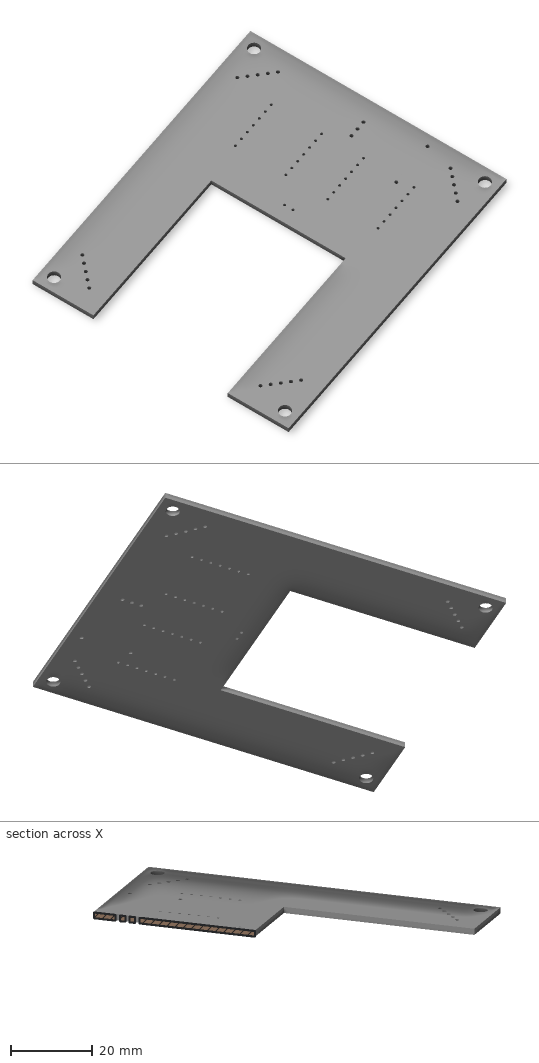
import cadquery as cq
import math

PITCH = 2.54

BOARD_WIDTH = 77.47
BOARD_LENGTH = 92.71
BOARD_THICKNESS = 1.6

NOTCH_WIDTH = 16 * PITCH
NOTCH_DEPTH = 50.165

MOUNT_HOLE_DIAMETER = 3.5
PIN_HOLE_DIAMETER = 1.0
CHIP_HOLE_DIAMETER = 0.76

MOUNT_HOLE_INSET = 1.5 * PITCH

CHIP_PINS_PER_ROW = 7
CHIP_INNER_ROW_X = 2.5 * PITCH
CHIP_ROW_SPACING = 6 * PITCH
CHIP_CENTER_Y = 23.495

UPPER_HEADER_PINS = 3
UPPER_HEADER_Y = 37.465
LOWER_HEADER_PINS = 2
LOWER_HEADER_Y = 8.255

SINGLE_PIN_X = 17.145
SINGLE_PIN_YS = (29.845, 43.18)

DIAGONAL_HEADER_PINS = 5
DIAGONAL_HEADERS = (
    (-29.58, 36.576, 45),
    (29.21, 37.465, -45),
    (-29.58, -36.576, -45),
    (29.21, -36.25, 45),
)


def pin_row(center_x, center_y, count, angle):
    """Centres of evenly pitched pins on a line at the given angle to the X axis."""
    direction = math.radians(angle)
    offsets = [(i - (count - 1) / 2) * PITCH for i in range(count)]
    return [
        (center_x + s * math.cos(direction), center_y + s * math.sin(direction))
        for s in offsets
    ]


def make_board():
    """Flat board with the notch cut into its -Y edge."""
    board = cq.Workplane("XY").box(
        BOARD_WIDTH, BOARD_LENGTH, BOARD_THICKNESS, centered=(True, True, False)
    )
    notch = (
        cq.Workplane("XY")
        .center(0, (NOTCH_DEPTH - BOARD_LENGTH) / 2)
        .rect(NOTCH_WIDTH, NOTCH_DEPTH)
        .extrude(BOARD_THICKNESS)
    )
    return board.cut(notch)


def drill(board, centers, diameter):
    """Cut through holes of one diameter at the given centres."""
    holes = cq.Workplane("XY").pushPoints(centers).circle(diameter / 2).extrude(BOARD_THICKNESS)
    return board.cut(holes)


def mount_hole_centers():
    x = BOARD_WIDTH / 2 - MOUNT_HOLE_INSET
    y = BOARD_LENGTH / 2 - MOUNT_HOLE_INSET
    return [(-x, -y), (x, -y), (-x, y), (x, y)]


def chip_hole_centers():
    """Four chip rows along Y, followed by the two-pin header, which shares their diameter."""
    outer_row_x = CHIP_INNER_ROW_X + CHIP_ROW_SPACING
    centers = []
    for row_x in (-outer_row_x, -CHIP_INNER_ROW_X, CHIP_INNER_ROW_X, outer_row_x):
        centers += pin_row(row_x, CHIP_CENTER_Y, CHIP_PINS_PER_ROW, 90)
    return centers + pin_row(0, LOWER_HEADER_Y, LOWER_HEADER_PINS, 0)


def pin_hole_centers():
    """Upper header, the two separate pins and the diagonal corner headers."""
    centers = pin_row(0, UPPER_HEADER_Y, UPPER_HEADER_PINS, 90)
    centers += [(SINGLE_PIN_X, y) for y in SINGLE_PIN_YS]
    for center_x, center_y, angle in DIAGONAL_HEADERS:
        centers += pin_row(center_x, center_y, DIAGONAL_HEADER_PINS, angle)
    return centers


result = make_board()
result = drill(result, mount_hole_centers(), MOUNT_HOLE_DIAMETER)
result = drill(result, chip_hole_centers(), CHIP_HOLE_DIAMETER)
result = drill(result, pin_hole_centers(), PIN_HOLE_DIAMETER)